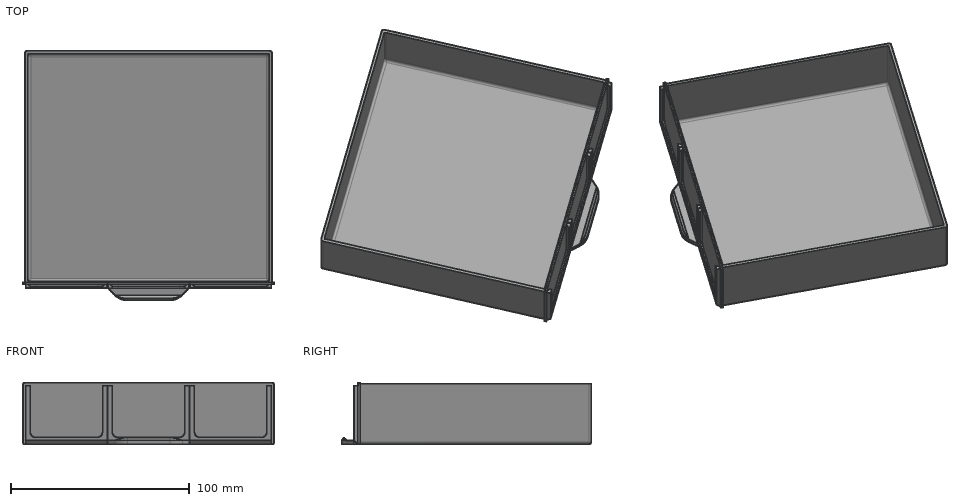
import cadquery as cq
import math

plate_width = 140.6
plate_height = 34.6
plate_thickness = 1.1
plate_corner_radius = 1.1

depth = 139.8
wall = 1.7
side_step = 1.1
top_step = 0.5
tray_width = plate_width - 2 * side_step
tray_height = plate_height - top_step
tray_corner_radius = 1.4
bottom_radius = 1.5
inner_radius = 1.5
inner_corner_radius = 0.7

holder_count = 3
holder_pitch = 46.0
holder_gap = 0.4
holder_width = holder_pitch - holder_gap
holder_thickness = 2.2
holder_height = plate_height - 1.7
window_width = 40.5
window_bottom = 4.0
window_radius = 3.1
lip_thickness = 1.0
slot_depth = holder_thickness - lip_thickness
underside_edge = 0.01

tab_reach = 6.9
tab_thickness = 2.2
tab_corner_radius = 9.8
tab_root_half_width = holder_width / 2
tab_front_half_width = tab_root_half_width - tab_reach
ridge_height = 1.5
ridge_depth = 2.8
ridge_crest = 1.1

holder_front = tab_reach
plate_front = holder_front + holder_thickness
plate_back = plate_front + plate_thickness


def box(x_size, y_min, y_max, z_min, z_max, x_center=0.0):
    """Block centred on x_center, between the given y and z limits."""
    block = cq.Workplane("XY").box(x_size, y_max - y_min, z_max - z_min, centered=(True, False, False))
    return block.translate((x_center, y_min, z_min))


def make_tray():
    body = box(tray_width, plate_front, depth, 0, tray_height)
    body = body.edges("|Z and >Y").fillet(tray_corner_radius)
    body = body.faces("<Z").edges("not <Y").fillet(bottom_radius)
    return body


def make_plate():
    plate = box(plate_width, plate_front, plate_back, 0, plate_height)
    return plate.edges("|Y").fillet(plate_corner_radius)


def make_cavity():
    cavity = box(tray_width - 2 * wall, plate_front + wall, depth - wall, wall, plate_height + wall)
    cavity = cavity.edges("|Z").fillet(inner_corner_radius)
    return cavity.faces("<Z").edges().fillet(inner_radius)


def make_opening(x_center, y_back, length, taper):
    """Round-cornered opening running from y_back toward the front, narrowing by the taper angle."""
    growth = length * math.tan(math.radians(taper))
    width = window_width + 2 * growth
    bottom = window_bottom - growth
    height = 2 * (plate_height - bottom)
    profile = cq.Sketch().rect(width, height).vertices().fillet(window_radius + growth)
    return (
        cq.Workplane("XZ", origin=(x_center, y_back, bottom + height / 2))
        .placeSketch(profile)
        .extrude(length, taper=taper)
    )


def make_holder(x_center):
    """U-shaped label holder, sloped underneath at 45 degrees and open at the top."""
    frame = box(holder_width, holder_front, plate_front, 0, holder_height, x_center)
    frame = frame.edges("<Y and <Z").chamfer(holder_thickness - underside_edge)
    window = make_opening(x_center, plate_front, holder_thickness, 0)
    slot = make_opening(x_center, plate_front, slot_depth, 45)
    return frame.cut(window).cut(slot)


def tab_outline(z):
    """Trapezoid with rounded front corners, at height z."""
    setback = tab_corner_radius * math.tan(math.pi / 8)
    diagonal = setback * math.sqrt(0.5)
    bulge = tab_corner_radius * (1 - math.cos(math.pi / 8))
    arc_x = tab_front_half_width - setback + tab_corner_radius * math.sin(math.pi / 8)
    line_x = tab_front_half_width - setback
    side_x = tab_front_half_width + diagonal
    return (
        cq.Workplane("XY", origin=(0, 0, z))
        .moveTo(-line_x, 0)
        .lineTo(line_x, 0)
        .threePointArc((arc_x, bulge), (side_x, diagonal))
        .lineTo(tab_root_half_width, tab_reach)
        .lineTo(tab_root_half_width, plate_back)
        .lineTo(-tab_root_half_width, plate_back)
        .lineTo(-tab_root_half_width, tab_reach)
        .lineTo(-side_x, diagonal)
        .threePointArc((-arc_x, bulge), (-line_x, 0))
        .close()
    )


def make_tab():
    """Flat tab with a finger ridge that slopes inward from the tab's outline."""
    slab = tab_outline(0).extrude(tab_thickness)
    ridge_taper = math.degrees(math.atan2(ridge_crest, ridge_height))
    sloped_edge = tab_outline(tab_thickness).extrude(ridge_height, taper=ridge_taper)
    crest_z = tab_thickness + ridge_height
    ridge = (
        cq.Workplane("YZ")
        .polyline([(0, tab_thickness), (ridge_depth, tab_thickness), (ridge_crest, crest_z), (0, crest_z)])
        .close()
        .extrude(tab_root_half_width, both=True)
    )
    return slab.union(ridge.intersect(sloped_edge))


result = make_tray().union(make_plate()).cut(make_cavity())
for index in range(holder_count):
    holder_x = (index - (holder_count - 1) / 2) * holder_pitch
    result = result.union(make_holder(holder_x))
result = result.union(make_tab())